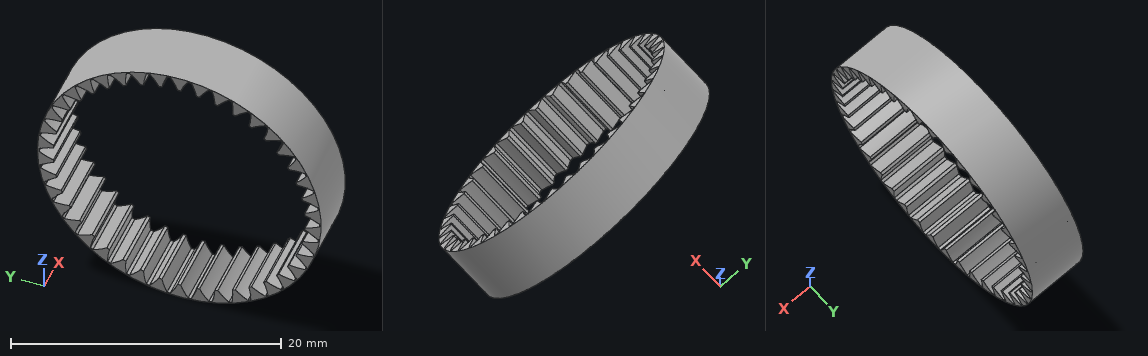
import math

import cadquery as cq

outer_diameter = 22.5
face_width = 5.0
tooth_count = 42
tip_radius = 10.0
rim_thickness = 0.125
pitch_radius = 10.5
pressure_angle = math.radians(25)
tooth_backlash = 0.1
flank_point_count = 6

pitch_angle = 2 * math.pi / tooth_count
root_radius = outer_diameter / 2 - rim_thickness
tooth_thickness = pitch_radius * pitch_angle / 2 - tooth_backlash
base_radius = pitch_radius * math.cos(pressure_angle)


def end_plane():
    """Workplane on the -X end of the ring, which is centred on the origin."""
    return cq.Workplane("YZ", origin=(-face_width / 2, 0, 0))


def involute(angle):
    return math.tan(angle) - angle


def half_tooth_angle(radius):
    """Angle between a tooth's centre line and its flank; internal teeth widen outward."""
    flank_angle = math.acos(base_radius / radius)
    return tooth_thickness / 2 / pitch_radius + involute(flank_angle) - involute(pressure_angle)


def polar(radius, angle):
    """Point in the YZ plane, with the angle measured from +Z."""
    return radius * math.sin(angle), radius * math.cos(angle)


def flank(tooth_angle, side):
    """Points on one flank of a tooth, from its tip out to its root."""
    step = (root_radius - tip_radius) / (flank_point_count - 1)
    radii = [tip_radius + i * step for i in range(flank_point_count)]
    return [polar(radius, tooth_angle + side * half_tooth_angle(radius)) for radius in radii]


def toothed_bore():
    """Solid filling the opening, outlined by the tip, flank, gap bottom and flank for each tooth in turn."""
    outline = end_plane().moveTo(*flank(0, -1)[0])
    for tooth in range(tooth_count):
        tooth_angle = tooth * pitch_angle
        next_tooth_angle = tooth_angle + pitch_angle
        rising_flank = flank(tooth_angle, 1)
        falling_flank = flank(next_tooth_angle, -1)[::-1]
        gap_middle = polar(root_radius, tooth_angle + pitch_angle / 2)
        outline = (
            outline.threePointArc(polar(tip_radius, tooth_angle), rising_flank[0])
            .spline(rising_flank[1:], includeCurrent=True)
            .threePointArc(gap_middle, falling_flank[0])
            .spline(falling_flank[1:], includeCurrent=True)
        )
    return outline.close().extrude(face_width)


blank = end_plane().circle(outer_diameter / 2).extrude(face_width)
result = blank.cut(toothed_bore())